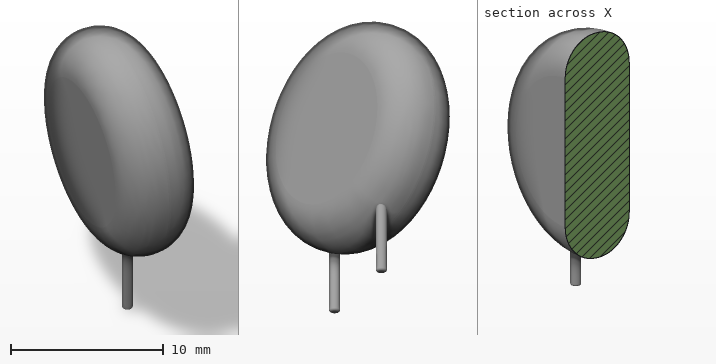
import cadquery as cq

total_height = 18.53
body_diameter = 15.5
body_thickness = 5.4

rim_band_width = 0.13
rim_radius = (body_thickness - rim_band_width) / 2

lead_diameter = 0.72
lead_spacing_x = 7.5
lead_spacing_y = 2.39
lead_tip_rounding = 0.15
lead_bottom = body_diameter / 2 - total_height
lead_top = -body_diameter / 4


def make_body():
    """Disc with both rims rounded, leaving a narrow flat band between them."""
    return (
        cq.Workplane("XZ")
        .circle(body_diameter / 2)
        .extrude(body_thickness / 2, both=True)
        .edges("%CIRCLE")
        .fillet(rim_radius)
    )


def make_lead(x, y):
    """Vertical round wire with a rounded lower tip."""
    return (
        cq.Workplane("XY", origin=(x, y, lead_bottom))
        .circle(lead_diameter / 2)
        .extrude(lead_top - lead_bottom)
        .faces("<Z")
        .edges()
        .fillet(lead_tip_rounding)
    )


result = make_body()
for side in (-1, 1):
    lead = make_lead(side * lead_spacing_x / 2, -side * lead_spacing_y / 2)
    result = result.union(lead)